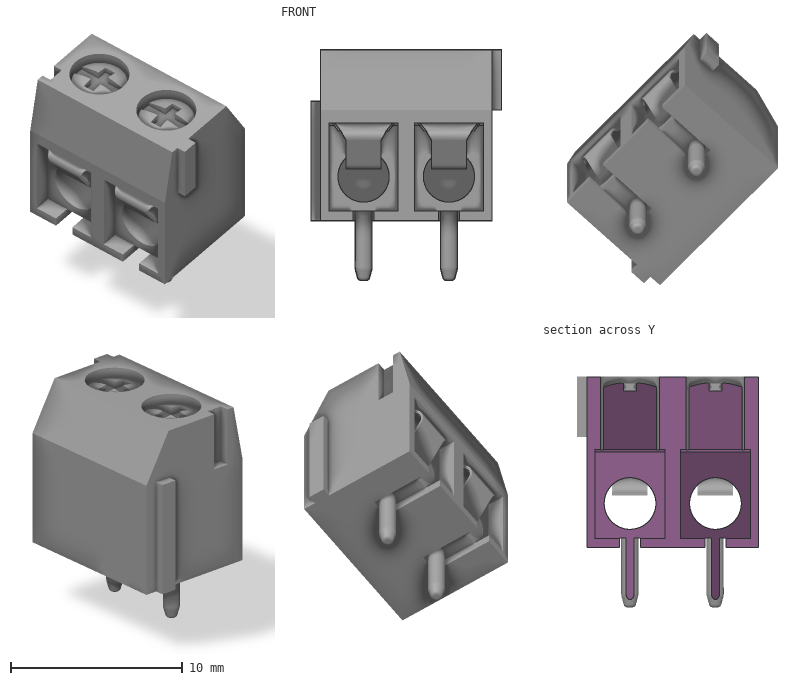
import cadquery as cq
import math


pole_count = 2
pole_pitch = 5.0
width = 10.06
pin_length = 3.5
overall_height = 13.5
height = overall_height - pin_length
front_y = -3.32
back_y = 4.18
front_chamfer_depth = 0.7
front_chamfer_height = 3.52
back_chamfer_depth = 1.73
back_chamfer_height = 3.01

side_projection = 0.55
rib_width = 1.01
rib_center_y = 2.92
rib_height = height - back_chamfer_height
lug_width = 1.01
lug_center_y = -1.63
lug_height = front_chamfer_height
notch_width = 1.05
notch_depth = 0.6

cavity_width = 4.05
cavity_bottom = 0.57
cavity_top = 5.72
terminal_half_depth = 2.28
slot_width = 1.22
slot_back_y = slot_width / 2

screw_hole_radius = 1.75
screw_radius = 1.63
screw_rim_drop = 0.6
screw_dome_rise = 0.3
drive_width = 0.72
short_drive_length = 2.02
drive_floor_drop = 0.81

sheet = 0.15
ramp_angle = 34.0
tongue_angle = 56.0
root_bend_radius = 0.54
nose_bend_radius = 0.42
tail_bend_radius = 0.53
ramp_length = 0.65
tongue_length = 1.71
tail_length = 0.14
ramp_root_half_width = 1.78
ramp_nose_half_width = 1.23
nose_half_width = 1.35
tongue_half_width = 1.03
nose_top_z = 5.26
nose_bottom_z = 4.71

block_top = cavity_top - sheet
wire_hole_radius = 1.5
wire_hole_z = 2.59
pin_radius = 0.5
pin_taper_length = 0.69
pin_tip_radius = 0.31
pin_shoulder_fillet = 0.54
pin_tip_fillet = 0.22

pole_centers = [(i - (pole_count - 1) / 2) * pole_pitch for i in range(pole_count)]


def block(x_range, y_range, z_range):
    """Axis-aligned box between the given limits."""
    size = [high - low for low, high in (x_range, y_range, z_range)]
    corner = (x_range[0], y_range[0], z_range[0])
    return cq.Workplane("XY").box(*size, centered=False).translate(corner)


def span(center, length):
    """Lower and upper limit of a length about its center."""
    return (center - length / 2, center + length / 2)


def make_housing():
    """Housing with a cavity, a pin slot and a screw hole for each pole."""
    side_outline = [
        (front_y, 0),
        (back_y, 0),
        (back_y, height - back_chamfer_height),
        (back_y - back_chamfer_depth, height),
        (front_y + front_chamfer_depth, height),
        (front_y, height - front_chamfer_height),
    ]
    body = cq.Workplane("YZ").polyline(side_outline).close().extrude(width / 2, both=True)

    left_x = -width / 2
    right_x = width / 2
    lug_z = (height - lug_height, height)
    rib = block((left_x - side_projection, left_x), span(rib_center_y, rib_width), (0, rib_height))
    lug = block((right_x, right_x + side_projection), span(lug_center_y, lug_width), lug_z)
    notch = block((left_x, left_x + notch_depth), span(lug_center_y, notch_width), lug_z)
    body = body.union(rib).union(lug).cut(notch)

    for x in pole_centers:
        cavity = block(
            span(x, cavity_width), (front_y, terminal_half_depth), (cavity_bottom, cavity_top)
        )
        pin_slot = block(span(x, slot_width), (front_y, slot_back_y), (0, cavity_bottom))
        screw_hole = (
            cq.Workplane("XY", origin=(x, 0, cavity_top))
            .circle(screw_hole_radius)
            .extrude(height - cavity_top)
        )
        body = body.cut(cavity).cut(pin_slot).cut(screw_hole)
    return body


def make_screw(x):
    """Domed screw with a cross recess, standing on the wire guard."""
    rim_z = height - screw_rim_drop
    dome_z = rim_z + screw_dome_rise
    dome_radius = (screw_radius**2 + screw_dome_rise**2) / (2 * screw_dome_rise)
    mid_radius = screw_radius / 2
    mid_z = dome_z - dome_radius + math.sqrt(dome_radius**2 - mid_radius**2)
    screw = (
        cq.Workplane("XZ")
        .moveTo(0, cavity_top)
        .lineTo(screw_radius, cavity_top)
        .lineTo(screw_radius, rim_z)
        .threePointArc((mid_radius, mid_z), (0, dome_z))
        .close()
        .revolve(360, (0, 0), (0, 1))
    )
    recess_z = (height - drive_floor_drop, height)
    long_drive = block(span(0, 2 * screw_radius), span(0, drive_width), recess_z)
    short_drive = block(span(0, drive_width), span(0, short_drive_length), recess_z)
    return screw.cut(long_drive).cut(short_drive).translate((x, 0, 0))


def bent_sheet_outline():
    """Y-Z outline of the sheet: along its outer face, then back along its inner face."""
    def direction(heading):
        angle = math.radians(heading)
        return cq.Vector(-math.cos(angle), -math.sin(angle))

    def outward(heading):
        return direction(heading - 90)

    bends = [
        (ramp_angle, root_bend_radius, ramp_length),
        (180 - tongue_angle, nose_bend_radius, tongue_length),
        (180, tail_bend_radius, tail_length),
    ]
    start = cq.Vector(terminal_half_depth, cavity_top)
    point = cq.Vector(-terminal_half_depth, cavity_top)
    heading = 0
    arcs = []
    for next_heading, radius, straight in bends:
        center = point - outward(heading) * radius
        arcs.append((center, radius, heading, next_heading))
        heading = next_heading
        point = center + outward(heading) * radius + direction(heading) * straight
    inner_end = point - outward(heading) * sheet

    outline = cq.Workplane("YZ").moveTo(start.x, start.y)
    for center, radius, before, after in arcs:
        first, middle, last = [
            (center + outward(h) * radius).toTuple()[:2]
            for h in (before, (before + after) / 2, after)
        ]
        outline = outline.lineTo(*first).threePointArc(middle, last)
    outline = outline.lineTo(point.x, point.y).lineTo(inner_end.x, inner_end.y)
    for center, radius, before, after in reversed(arcs):
        first, middle, last = [
            (center + outward(h) * (radius - sheet)).toTuple()[:2]
            for h in (after, (before + after) / 2, before)
        ]
        outline = outline.lineTo(*first).threePointArc(middle, last)
    return outline.lineTo(start.x, start.y - sheet).close()


def mirrored_outline(plane, half_points):
    """Closed outline symmetrical about the second axis, from its points on the positive side."""
    other_half = [(-u, v) for u, v in reversed(half_points)]
    return cq.Workplane(plane).polyline(half_points + other_half).close()


def make_wire_guard(x):
    """Bent sheet, tapered along its ramp and round its nose to a narrow tongue."""
    half_width = cavity_width / 2
    sheet_strip = bent_sheet_outline().extrude(half_width, both=True)
    plan = mirrored_outline(
        "XY",
        [
            (half_width, terminal_half_depth),
            (half_width, -terminal_half_depth),
            (ramp_root_half_width, -terminal_half_depth),
            (ramp_nose_half_width, front_y),
        ],
    ).extrude(height)
    elevation = mirrored_outline(
        "XZ",
        [
            (half_width, height),
            (half_width, nose_top_z),
            (nose_half_width, nose_top_z),
            (tongue_half_width, nose_bottom_z),
            (tongue_half_width, 0),
        ],
    ).extrude(-2 * front_y, both=True)
    return sheet_strip.intersect(plan).intersect(elevation).translate((x, 0, 0))


def make_terminal(x):
    """Block with a wire hole through it and a solder pin below."""
    body = block(
        span(0, cavity_width), span(0, 2 * terminal_half_depth), (cavity_bottom, block_top)
    )
    wire_hole = (
        cq.Workplane("XZ", origin=(0, 0, wire_hole_z))
        .circle(wire_hole_radius)
        .extrude(terminal_half_depth, both=True)
    )
    taper_z = pin_taper_length - pin_length
    pin = (
        cq.Workplane("XZ")
        .polyline(
            [
                (0, cavity_bottom),
                (pin_radius, cavity_bottom),
                (pin_radius, taper_z),
                (pin_tip_radius, -pin_length),
                (0, -pin_length),
            ]
        )
        .close()
        .revolve(360, (0, 0), (0, 1))
    )
    pin = pin.faces("<Z").edges().fillet(pin_tip_fillet)
    shoulder = pin.edges(cq.selectors.NearestToPointSelector((0, 0, taper_z)))
    pin = shoulder.fillet(pin_shoulder_fillet)
    return body.cut(wire_hole).union(pin).translate((x, 0, 0))


housing = make_housing()
screws = [make_screw(x) for x in pole_centers]
wire_guards = [make_wire_guard(x) for x in pole_centers]
terminals = [make_terminal(x) for x in pole_centers]

result = cq.Compound.makeCompound([body.val() for body in [housing, *screws, *wire_guards, *terminals]])